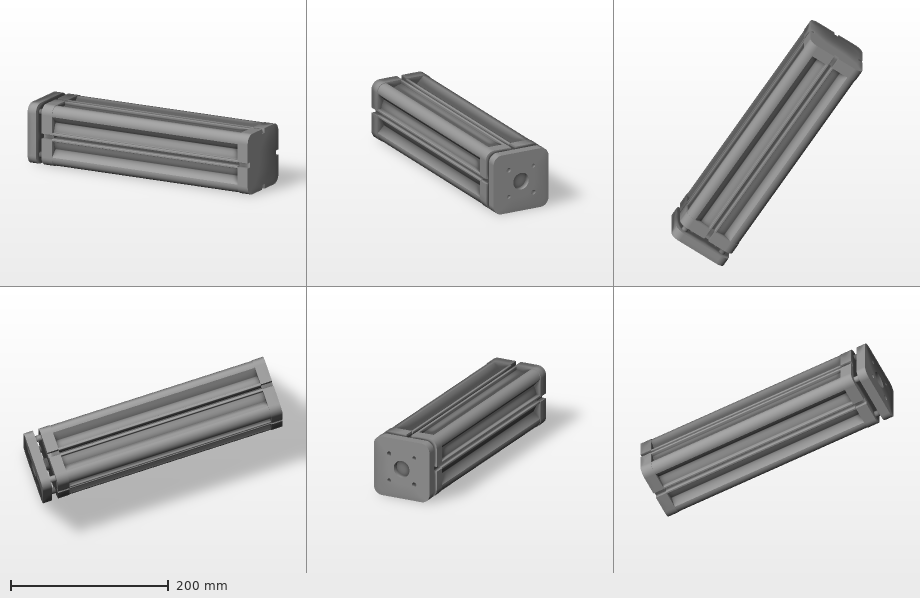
import cadquery as cq
import math

total_length = 320.0
plate_thickness = 12.0
plate_gap = 8.0
cover_length = 15.0
front_cover_x = plate_thickness + plate_gap
profile_x = front_cover_x + cover_length
rear_cover_x = total_length - cover_length
profile_length = rear_cover_x - profile_x

square_side = 79.5
corner_radius = 11.5

guide_diameter = 8.0
guide_offset = square_side / 2 - corner_radius
guide_length = plate_gap + cover_length

recess_diameter = 22.5
recess_depth = 8.0
plate_hole_offset = 18.0
dowel_hole_diameter = 6.0
screw_hole_diameter = 5.0

rod_radius = 8.0
flat_width = 12.8
flat_length = 5.5
flat_runout = rod_radius - flat_width / 2

cover_slot_width = 6.7
cover_slot_depth = 6.0

lobe_radius = 11.0
flank_top_y = 26.5
flank_top_z = guide_offset + math.sqrt(lobe_radius**2 - (guide_offset - flank_top_y) ** 2)
barrel_radius = 34.5
flank_rise = flank_top_z - flank_top_y
flank_foot_y = math.sqrt(barrel_radius**2 / 2 - flank_rise**2 / 4) - flank_rise / 2
flank_foot_z = flank_foot_y + flank_rise
foot_fillet = 0.5

rail_width = 11.0
rail_top = 39.0
rail_rounding = 0.8
rail_slot_width = 4.5
rail_slot_floor = 27.2

side_angles = (0, 90, 180, 270)


def section_at(x):
    """Workplane across the length at x; its local axes are Y and Z."""
    return cq.Workplane("YZ", origin=(x, 0, 0))


def rounded_block(x, length):
    """Square block with rounded lengthwise edges."""
    block = section_at(x).rect(square_side, square_side).extrude(length)
    return block.edges("|X").fillet(corner_radius)


def guide_points():
    """Centres of the four guide rods as (Y, Z)."""
    return [(y, z) for y in (-guide_offset, guide_offset) for z in (-guide_offset, guide_offset)]


def cut_on_all_sides(body, x, length, width, floor):
    """Cut the same straight groove, down to the given floor, into all four sides."""
    depth = square_side / 2 - floor
    groove = section_at(x).center(0, floor + depth / 2).rect(width, depth).extrude(length)
    for angle in side_angles:
        body = body.cut(groove.rotate((0, 0, 0), (1, 0, 0), angle))
    return body


def make_yoke():
    """End plate carrying the four guide rods."""
    offset = plate_hole_offset
    plate = rounded_block(0, plate_thickness)
    recess = section_at(0).circle(recess_diameter / 2).extrude(recess_depth)
    dowel_holes = (
        section_at(0)
        .pushPoints([(offset, offset), (-offset, -offset)])
        .circle(dowel_hole_diameter / 2)
        .extrude(plate_thickness)
    )
    screw_holes = (
        section_at(0)
        .pushPoints([(-offset, offset), (offset, -offset)])
        .circle(screw_hole_diameter / 2)
        .extrude(plate_thickness)
    )
    rods = (
        section_at(plate_thickness)
        .pushPoints(guide_points())
        .circle(guide_diameter / 2)
        .extrude(guide_length)
    )
    return plate.cut(recess).cut(dowel_holes).cut(screw_holes).union(rods)


def make_piston_rod():
    """Round rod from the yoke plate through the front cover, flats on top and bottom."""
    rod = section_at(plate_thickness).circle(rod_radius).extrude(guide_length)
    flat_end_x = plate_thickness + flat_length
    flat_cut = (
        cq.Workplane("XZ")
        .moveTo(plate_thickness, flat_width / 2)
        .lineTo(flat_end_x, flat_width / 2)
        .lineTo(flat_end_x + flat_runout, rod_radius)
        .lineTo(plate_thickness, rod_radius)
        .close()
        .extrude(rod_radius, both=True)
    )
    return rod.cut(flat_cut).cut(flat_cut.mirror("XY"))


def make_cover(x):
    """End cover with a slot along the middle of each side."""
    slot_floor = square_side / 2 - cover_slot_depth
    return cut_on_all_sides(rounded_block(x, cover_length), x, cover_length, cover_slot_width, slot_floor)


def make_front_cover():
    """Cover bored for the piston rod and the guide rods."""
    rod_bore = section_at(front_cover_x).circle(rod_radius).extrude(cover_length)
    guide_bores = (
        section_at(front_cover_x)
        .pushPoints(guide_points())
        .circle(guide_diameter / 2)
        .extrude(cover_length)
    )
    return make_cover(front_cover_x).cut(rod_bore).cut(guide_bores)


def turned(point, angle):
    """Turn a point of the cross section about the axis by the angle in degrees."""
    y, z = point
    cosine = math.cos(math.radians(angle))
    sine = math.sin(math.radians(angle))
    return (y * cosine - z * sine, y * sine + z * cosine)


def is_foot_edge(edge):
    """True for the edges where the flanks meet the barrel, the nearest ones to the axis."""
    middle = edge.Center()
    return math.hypot(middle.y, middle.z) < barrel_radius + foot_fillet


def is_rail_edge(edge):
    """True for the lips and the base edges of the rails, but not the slot floors."""
    middle = edge.Center()
    across, outward = sorted((abs(middle.y), abs(middle.z)))
    return across < rail_width / 2 + rail_rounding and outward > (rail_slot_floor + rail_top) / 2


def make_profile():
    """Extrusion: four rounded lobes joined by barrel-shaped sides that carry slotted rails."""
    lobe_tip = guide_offset + lobe_radius / math.sqrt(2)
    outline = section_at(profile_x).moveTo(flank_foot_y, flank_foot_z)
    for angle in side_angles:
        outline = (
            outline.threePointArc(
                turned((0, barrel_radius), angle), turned((-flank_foot_y, flank_foot_z), angle)
            )
            .lineTo(*turned((-flank_top_y, flank_top_z), angle))
            .threePointArc(
                turned((-lobe_tip, lobe_tip), angle), turned((-flank_top_z, flank_top_y), angle)
            )
            .lineTo(*turned((-flank_foot_z, flank_foot_y), angle))
        )
    body = outline.close().extrude(profile_length)
    foot_edges = body.edges("|X").filter(is_foot_edge)
    body = foot_edges.fillet(foot_fillet)
    rail = section_at(profile_x).center(0, rail_top / 2).rect(rail_width, rail_top).extrude(profile_length)
    for angle in side_angles:
        body = body.union(rail.rotate((0, 0, 0), (1, 0, 0), angle))
    body = cut_on_all_sides(body, profile_x, profile_length, rail_slot_width, rail_slot_floor)
    return body.edges("|X").filter(is_rail_edge).fillet(rail_rounding)


yoke = make_yoke()
piston_rod = make_piston_rod()
front_cover = make_front_cover()
profile = make_profile()
rear_cover = make_cover(rear_cover_x)

result = cq.Compound.makeCompound(
    [yoke.val(), piston_rod.val(), front_cover.val(), profile.val(), rear_cover.val()]
)